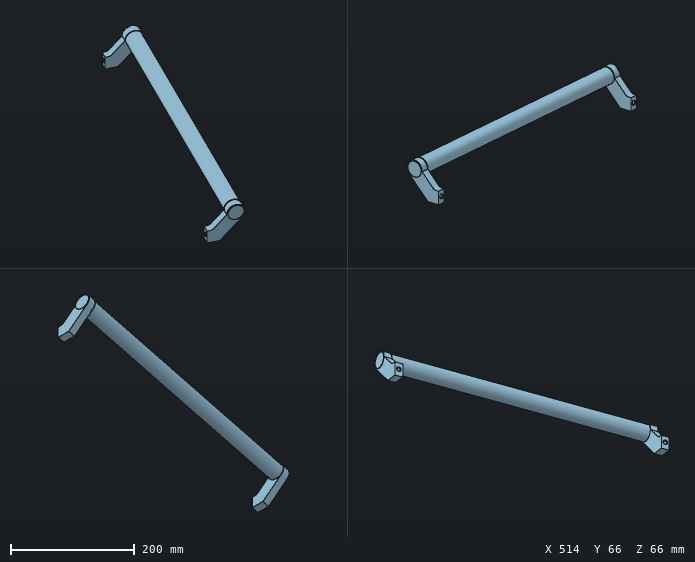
import cadquery as cq
import math

length = 514.0
depth = 66.0
bracket_width = 15.0

tube_radius = 15.0
head_radius = 16.0
cap_radius = 14.0
cap_recess = 0.5

foot_height = 24.0
arm_offset = 11.0
arm_fillet = 10.5

screw_drop = 11.5
screw_radius = 3.0
mouth_radius = 4.0
screw_depth = 15.5
screw_tip = 2.0

foot_face = head_radius - depth
foot_bottom = foot_face
foot_top = foot_bottom + foot_height
screw_z = foot_top - screw_drop

tangent = head_radius * math.sqrt(0.5)
lower_corner_y = foot_bottom + head_radius * math.sqrt(2)
upper_corner_y = foot_top - arm_offset * math.sqrt(2)
arm_start = arm_offset * math.sqrt(0.5)


def make_screw_hole(x_center):
    hole_end = foot_face + screw_depth
    return (
        cq.Workplane("XY", origin=(x_center, 0, screw_z))
        .moveTo(0, foot_face)
        .lineTo(mouth_radius, foot_face)
        .lineTo(screw_radius, foot_face + mouth_radius - screw_radius)
        .lineTo(screw_radius, hole_end)
        .lineTo(0, hole_end + screw_tip)
        .close()
        .revolve(360, (0, 0, 0), (0, 1, 0))
    )


def make_bracket(x_start):
    plane = cq.Workplane("YZ", origin=(x_start, 0, 0))
    arm = (
        plane.moveTo(tangent, -tangent)
        .lineTo(lower_corner_y, foot_bottom)
        .lineTo(foot_face, foot_bottom)
        .lineTo(foot_face, foot_top)
        .lineTo(upper_corner_y, foot_top)
        .lineTo(-arm_start, arm_start)
        .lineTo(0, 0)
        .close()
        .extrude(bracket_width)
    )
    inner_corner = cq.NearestToPointSelector((x_start + bracket_width / 2, upper_corner_y, foot_top))
    arm = arm.edges("|X").edges(inner_corner).fillet(arm_fillet)
    bracket = arm.union(plane.circle(head_radius).extrude(bracket_width))

    return bracket.cut(make_screw_hole(x_start + bracket_width / 2))


def make_cap_recess(x_start):
    return cq.Workplane("YZ", origin=(x_start, 0, 0)).circle(cap_radius).extrude(cap_recess)


tube_length = length - 2 * bracket_width
result = cq.Workplane("YZ", origin=(-tube_length / 2, 0, 0)).circle(tube_radius).extrude(tube_length)

for bracket_start in (-length / 2, length / 2 - bracket_width):
    result = result.union(make_bracket(bracket_start))

for recess_start in (-length / 2, length / 2 - cap_recess):
    result = result.cut(make_cap_recess(recess_start))